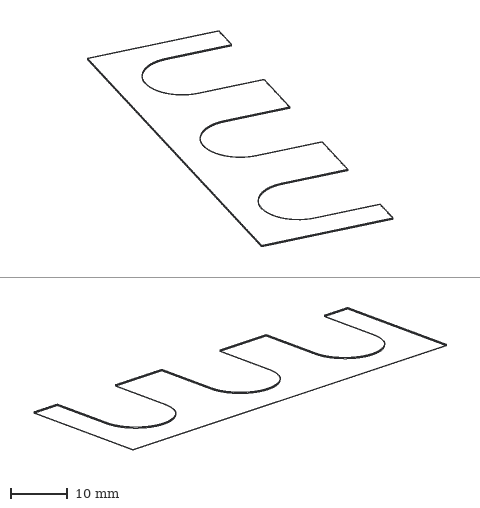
import cadquery as cq

length = 76.2
slot_count = 3
pitch = length / slot_count
depth = pitch
thickness = 0.25
slot_width = 14.2
slot_radius = slot_width / 2

back_edge = depth / 2


def slot_cutter(x):
    """U-shaped slot, round end at the cell centre, open towards +Y."""
    return (
        cq.Workplane("XY")
        .moveTo(x - slot_radius, back_edge)
        .lineTo(x - slot_radius, 0)
        .threePointArc((x, -slot_radius), (x + slot_radius, 0))
        .lineTo(x + slot_radius, back_edge)
        .close()
        .extrude(thickness)
    )


result = cq.Workplane("XY").box(length, depth, thickness, centered=(True, True, False))
for index in range(slot_count):
    slot_x = (index - (slot_count - 1) / 2) * pitch
    result = result.cut(slot_cutter(slot_x))